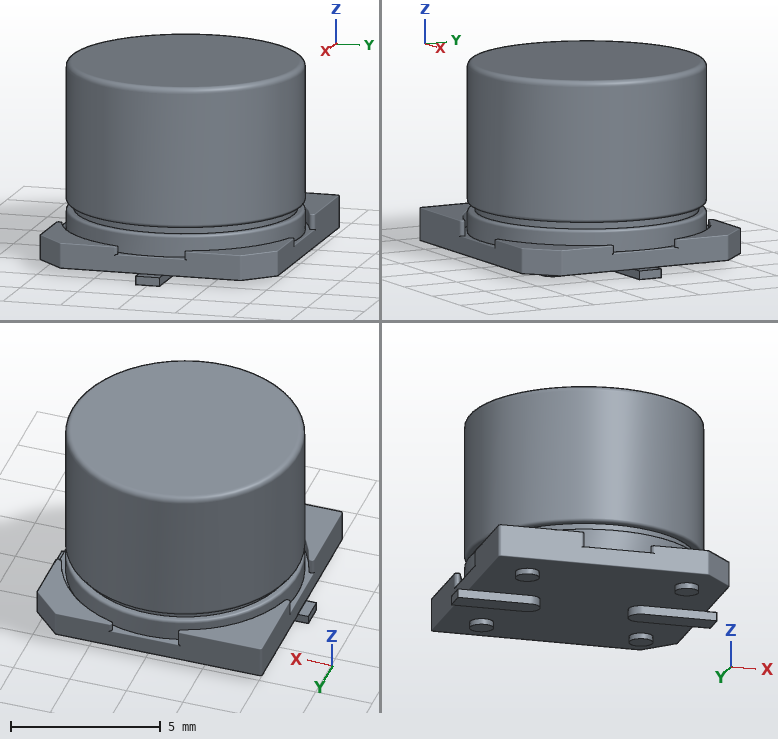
import cadquery as cq

overall_height = 6.7
base_bottom = 0.3
seat_height = 0.9
tall_corner_top = 1.41
low_corner_top = 1.16

base_width = 8.3
base_chamfer = 1.0
corner_radius = 0.1
rim_radius = 0.03
pocket_radius = 4.14
notch_width = 2.34

can_diameter = 8.0
neck_diameter = 7.5
groove_bottom = 1.65
groove_top = 1.9
lip_radius = 0.1
can_top_radius = 0.2

lead_span = 9.0
lead_width = 0.83
lead_gap = 3.1
pin_diameter = 0.8
pin_spacing = 5.54
pin_bottom = 0.1

tolerance = 0.001


def at_height(height):
    """Selector for base edges lying in the horizontal plane at the given height."""
    return cq.selectors.BoxSelector(
        (-base_width, -base_width, height - tolerance),
        (base_width, base_width, height + tolerance),
    )


def make_base():
    """Square base: can pocket, a notch in each side, lower corners on the +X side."""
    base = cq.Workplane("XY").workplane(offset=base_bottom)
    base = base.rect(base_width, base_width).extrude(tall_corner_top - base_bottom)
    base = base.edges("|Z and >X").chamfer(base_chamfer)

    step = cq.Workplane("XY").workplane(offset=low_corner_top).center(base_width / 2, 0)
    base = base.cut(step.rect(base_width, base_width).extrude(overall_height))

    seat = cq.Workplane("XY").workplane(offset=seat_height)
    base = base.cut(seat.circle(pocket_radius).extrude(overall_height))
    base = base.cut(seat.rect(notch_width, 2 * base_width).extrude(overall_height))
    base = base.cut(seat.rect(2 * base_width, notch_width).extrude(overall_height))

    base = base.edges("|Z").fillet(corner_radius)
    for height in (base_bottom, low_corner_top, tall_corner_top):
        base = base.edges(at_height(height)).fillet(rim_radius)
    return base.edges(at_height(seat_height)).edges("<X or >X or <Y or >Y").fillet(rim_radius)


def make_can():
    """Round can with a rounded top and a crimp groove near its lower end."""

    def section(diameter, bottom, top):
        return cq.Workplane("XY").workplane(offset=bottom).circle(diameter / 2).extrude(top - bottom)

    foot = section(can_diameter, seat_height, groove_bottom).edges(">Z").fillet(lip_radius)
    neck = section(neck_diameter, groove_bottom, groove_top)
    body = section(can_diameter, groove_top, overall_height)
    body = body.edges("<Z").fillet(lip_radius).edges(">Z").fillet(can_top_radius)
    return foot.union(neck).union(body)


def make_lead(side):
    """Flat lead under the base with a round inner end; side is -1 or +1 along X."""
    outer_x = side * lead_span / 2
    round_center_x = side * (lead_gap + lead_width) / 2
    inner_x = side * lead_gap / 2
    half_width = lead_width / 2
    return (
        cq.Workplane("XY")
        .moveTo(outer_x, -half_width)
        .lineTo(round_center_x, -half_width)
        .threePointArc((inner_x, 0), (round_center_x, half_width))
        .lineTo(outer_x, half_width)
        .close()
        .extrude(base_bottom)
    )


def make_pins():
    """Four short round standoffs under the base."""
    return (
        cq.Workplane("XY")
        .workplane(offset=pin_bottom)
        .rect(pin_spacing, pin_spacing, forConstruction=True)
        .vertices()
        .circle(pin_diameter / 2)
        .extrude(base_bottom - pin_bottom)
    )


result = make_base().union(make_can()).union(make_pins())
for side in (-1, 1):
    result = result.union(make_lead(side))